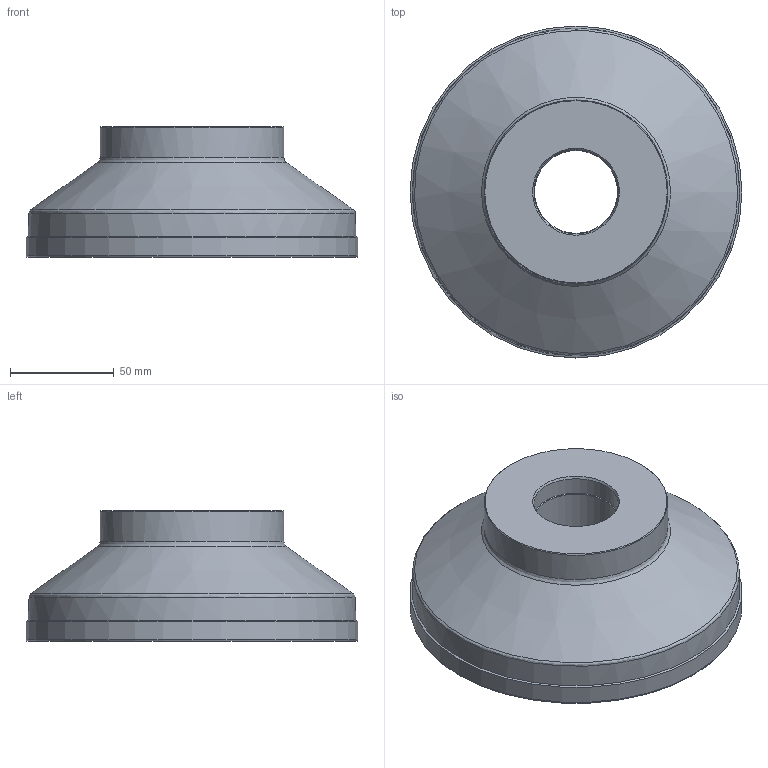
import cadquery as cq

total_height = 63.0
flange_radius = 80.0

flange_rim_z = 9.7
flange_top_z = 10.05
flange_chamfer_width = 0.4
flange_chamfer_height = 0.85

band_bottom_radius = 79.0
shoulder_z = 22.3
shoulder_radius = 78.7
shoulder_fillet = 2.0

hub_radius = 44.25
hub_root_z = 46.6
hub_root_fillet = 3.0
hub_chamfer_width = 0.3
hub_chamfer_height = 0.5

bore_radius = 20.0
upper_bore_radius = 20.35
upper_bore_depth = 9.6
mouth_chamfer_width = 0.6
mouth_chamfer_height = 1.1

edge_margin = 0.05


def turned_outline():
    """Points (radius, z) of the solid bell, from the axis at the base to the axis at the top."""
    flange = [
        (0, 0),
        (flange_radius - flange_chamfer_width, 0),
        (flange_radius, flange_chamfer_height),
        (flange_radius, flange_rim_z),
    ]
    band_and_cone = [
        (band_bottom_radius, flange_top_z),
        (shoulder_radius, shoulder_z),
    ]
    hub = [
        (hub_radius, hub_root_z),
        (hub_radius, total_height - hub_chamfer_height),
        (hub_radius - hub_chamfer_width, total_height),
        (0, total_height),
    ]
    return flange + band_and_cone + hub


def bore_outline():
    """Points (radius, z) of the bore; a 45 degree step joins its two diameters."""
    step_top_z = total_height - upper_bore_depth
    step_height = upper_bore_radius - bore_radius
    return [
        (0, 0),
        (bore_radius, 0),
        (bore_radius, step_top_z - step_height),
        (upper_bore_radius, step_top_z),
        (upper_bore_radius, total_height - mouth_chamfer_height),
        (upper_bore_radius + mouth_chamfer_width, total_height),
        (0, total_height),
    ]


def revolve_about_z(outline):
    """Turn a closed (radius, z) outline a full circle about the Z axis."""
    return cq.Workplane("XZ").polyline(outline).close().revolve(360, (0, 0, 0), (0, 1, 0))


def circle_edge(radius, z):
    """Selector for the circular edge of the given radius at height z."""
    reach = radius + edge_margin
    low_corner = (-reach, -reach, z - edge_margin)
    high_corner = (reach, reach, z + edge_margin)
    return cq.selectors.BoxSelector(low_corner, high_corner, boundingbox=True)


bell = revolve_about_z(turned_outline())
bell = bell.edges(circle_edge(hub_radius, hub_root_z)).fillet(hub_root_fillet)
bell = bell.edges(circle_edge(shoulder_radius, shoulder_z)).fillet(shoulder_fillet)

result = bell.cut(revolve_about_z(bore_outline()))